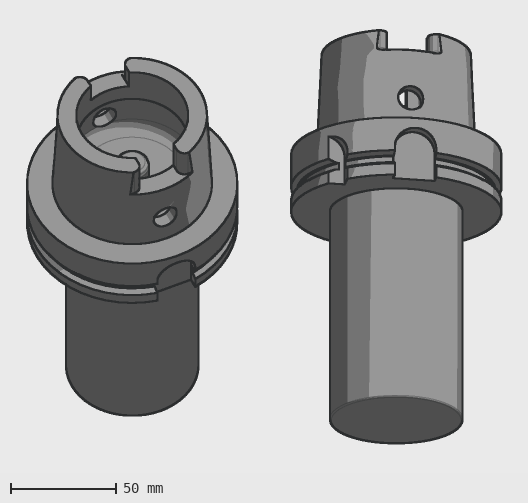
import cadquery as cq

total_height = 184.9
flange_bottom = 105.8
flange_top = 134.8

shank_radius = 63.0 / 2
shank_edge_fillet = 0.7
flange_radius = 99.8 / 2
taper_base_radius = 37.9
taper_top_radius = 35.5

groove_radius = 46.0
groove_bevel_radius = 47.1
groove_floor_bottom = 113.2
groove_floor_top = 116.5
groove_bevel_height = 1.7

bore_entry_radius = 53.0 / 2
lip_bottom = 165.3
chamber_radius = 31.0
chamber_floor_fillet = 6.1
bore_floor = 138.9
boss_radius = 16.0 / 2
boss_top = 150.3
boss_crown_radius = 7.5
boss_crown_fillet = 1.5
boss_bevel_height = 1.5

cross_hole_diameter = 12.0
cross_hole_level = 149.8

drive_slot_half_width = 10.0
drive_corner_radius = 4.0
drive_flat_offset = 32.4
shallow_slot_floor = 174.5
deep_slot_floor = 169.4
drive_floor_fillet = 1.7

keyway_half_width = 10.0
keyway_floor_offset = 44.0
keyway_top = 129.8
notch_side = 31.0
notch_floor_offset = 31.5

overrun = 5.5


def make_body():
    """Solid of revolution: shank, grooved flange and taper."""
    return (
        cq.Workplane("XZ")
        .moveTo(0, 0)
        .lineTo(shank_radius - shank_edge_fillet, 0)
        .radiusArc((shank_radius, shank_edge_fillet), -shank_edge_fillet)
        .lineTo(shank_radius, flange_bottom)
        .lineTo(flange_radius, flange_bottom)
        .lineTo(flange_radius, groove_floor_bottom - groove_bevel_height)
        .lineTo(groove_bevel_radius, groove_floor_bottom)
        .lineTo(groove_radius, groove_floor_bottom)
        .lineTo(groove_radius, groove_floor_top)
        .lineTo(groove_bevel_radius, groove_floor_top)
        .lineTo(flange_radius, groove_floor_top + groove_bevel_height)
        .lineTo(flange_radius, flange_top)
        .lineTo(taper_base_radius, flange_top)
        .lineTo(taper_top_radius, total_height)
        .lineTo(0, total_height)
        .close()
        .revolve(360, (0, 0), (0, 1))
    )


def make_bore():
    """Cylindrical entry opening into a wider chamber with a rounded floor edge."""
    return (
        cq.Workplane("XZ")
        .moveTo(0, bore_floor)
        .lineTo(chamber_radius - chamber_floor_fillet, bore_floor)
        .radiusArc((chamber_radius, bore_floor + chamber_floor_fillet), -chamber_floor_fillet)
        .lineTo(chamber_radius, lip_bottom)
        .lineTo(bore_entry_radius, lip_bottom)
        .lineTo(bore_entry_radius, total_height)
        .lineTo(0, total_height)
        .close()
        .revolve(360, (0, 0), (0, 1))
    )


def make_boss():
    """Central post on the bore floor with a bevelled, round-edged crown."""
    crown_bottom = boss_top - boss_crown_fillet
    return (
        cq.Workplane("XZ")
        .moveTo(0, bore_floor)
        .lineTo(boss_radius, bore_floor)
        .lineTo(boss_radius, crown_bottom - boss_bevel_height)
        .lineTo(boss_crown_radius, crown_bottom)
        .radiusArc((boss_crown_radius - boss_crown_fillet, boss_top), -boss_crown_fillet)
        .lineTo(0, boss_top)
        .close()
        .revolve(360, (0, 0), (0, 1))
    )


def make_cross_holes():
    """Pair of opposed radial holes, each ending inside the bore."""
    inner_end = bore_entry_radius
    length = taper_base_radius + overrun - inner_end
    hole = (
        cq.Workplane("YZ", origin=(inner_end, 0, cross_hole_level))
        .circle(cross_hole_diameter / 2)
        .extrude(length)
    )
    return hole.union(hole.mirror("YZ"))


def make_drive_slot(floor_level, floor_fillet=0.0):
    """Slot through the +X rim, flaring round the lug corners onto flats."""
    inner_x = bore_entry_radius - 2 * overrun
    outer_x = taper_base_radius + overrun
    corner_x = drive_flat_offset - drive_corner_radius
    corner_y = drive_slot_half_width + drive_corner_radius
    flat_end = taper_base_radius
    height = total_height - floor_level
    slot = (
        cq.Workplane("XY", origin=(0, 0, floor_level))
        .moveTo(inner_x, -drive_slot_half_width)
        .lineTo(corner_x, -drive_slot_half_width)
        .radiusArc((drive_flat_offset, -corner_y), drive_corner_radius)
        .lineTo(drive_flat_offset, -flat_end)
        .lineTo(outer_x, -flat_end)
        .lineTo(outer_x, flat_end)
        .lineTo(drive_flat_offset, flat_end)
        .lineTo(drive_flat_offset, corner_y)
        .radiusArc((corner_x, drive_slot_half_width), drive_corner_radius)
        .lineTo(inner_x, drive_slot_half_width)
        .close()
        .extrude(height)
    )
    if floor_fillet == 0:
        return slot
    passage = cq.Workplane("XY", origin=(0, 0, floor_level)).box(
        outer_x - inner_x, 2 * drive_slot_half_width, height, centered=(False, True, False)
    ).translate((inner_x, 0, 0))
    return slot.faces("<Z").edges().fillet(floor_fillet).union(passage)


def make_keyway(floor_offset, center_y=0.0):
    """Round-topped keyway in the +X side, open at the flange underside."""
    arc_center = keyway_top - keyway_half_width
    return (
        cq.Workplane("YZ", origin=(floor_offset, center_y, 0))
        .moveTo(-keyway_half_width, flange_bottom)
        .lineTo(-keyway_half_width, arc_center)
        .threePointArc((0, keyway_top), (keyway_half_width, arc_center))
        .lineTo(keyway_half_width, flange_bottom)
        .close()
        .extrude(flange_radius + overrun - floor_offset)
    )


deep_drive_slot = make_drive_slot(deep_slot_floor)
shallow_drive_slot = make_drive_slot(shallow_slot_floor, drive_floor_fillet).mirror("YZ")
keyway = make_keyway(keyway_floor_offset)
orientation_notch = make_keyway(notch_floor_offset, notch_side + keyway_half_width).mirror("YZ")

result = (
    make_body()
    .cut(make_bore())
    .cut(make_cross_holes())
    .union(make_boss())
    .cut(deep_drive_slot)
    .cut(shallow_drive_slot)
    .cut(keyway)
    .cut(keyway.mirror("YZ"))
    .cut(orientation_notch)
)